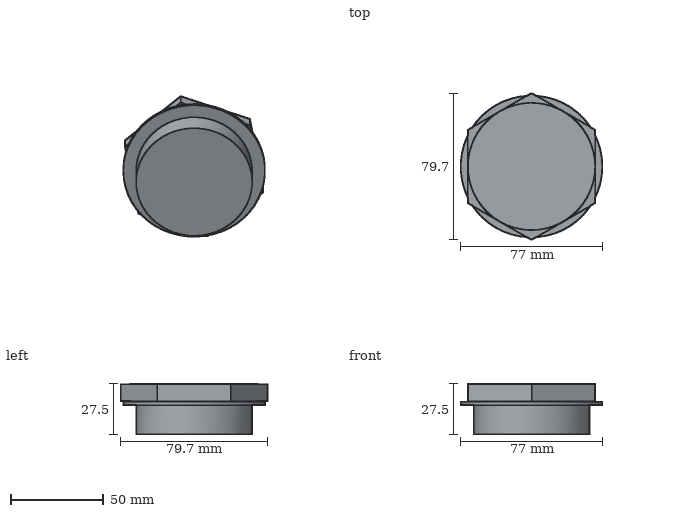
import cadquery as cq
import math

hex_across_corners = 79.7
hex_across_flats = hex_across_corners * math.cos(math.radians(30))
flange_diameter = 77.0
plug_diameter = 62.9

total_height = 27.5
plug_height = 15.8
flange_thickness = 2.0
pad_height = 0.2

flange_top = plug_height + flange_thickness
hex_bottom = flange_top + pad_height
hex_height = total_height - pad_height - hex_bottom


def disc(diameter, height, base):
    """Solid cylinder standing on the height `base`."""
    return cq.Workplane("XY").workplane(offset=base).circle(diameter / 2).extrude(height)


plug = disc(plug_diameter, plug_height, 0)
flange = disc(flange_diameter, flange_thickness, plug_height)

head = (
    cq.Workplane("XY")
    .workplane(offset=hex_bottom)
    .transformed(rotate=(0, 0, 90))
    .polygon(6, hex_across_corners)
    .extrude(hex_height)
)
lower_pad = disc(hex_across_flats, pad_height, flange_top)
upper_pad = disc(hex_across_flats, pad_height, hex_bottom + hex_height)

result = plug.union(flange).union(lower_pad).union(head).union(upper_pad)